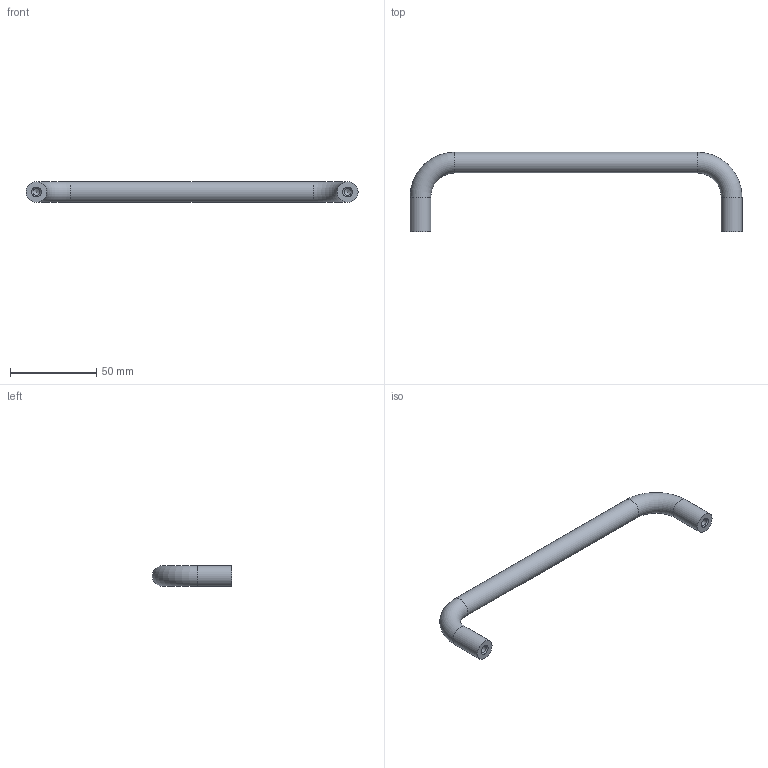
import cadquery as cq
import math

bar_diameter = 12.0
hole_spacing = 180.0
handle_height = 46.0
bend_radius = 20.0

hole_diameter = 4.134
hole_mouth_diameter = 5.7
hole_depth = 12.0
drill_point_angle = 120.0

leg_x = hole_spacing / 2
grip_y = handle_height - bar_diameter / 2
leg_length = grip_y - bend_radius
grip_half_length = leg_x - bend_radius


def bent_bar():
    """Sweep the round section along the U-shaped bar axis."""
    bend_mid_offset = bend_radius * math.sin(math.pi / 4)
    bend_mid_x = grip_half_length + bend_mid_offset
    bend_mid_y = leg_length + bend_mid_offset
    axis = (
        cq.Workplane("XY")
        .moveTo(-leg_x, 0)
        .lineTo(-leg_x, leg_length)
        .threePointArc((-bend_mid_x, bend_mid_y), (-grip_half_length, grip_y))
        .lineTo(grip_half_length, grip_y)
        .threePointArc((bend_mid_x, bend_mid_y), (leg_x, leg_length))
        .lineTo(leg_x, 0)
    )
    section = cq.Workplane("XZ", origin=(-leg_x, 0, 0)).circle(bar_diameter / 2)
    return section.sweep(axis)


def foot_hole(x):
    """Blind hole with a 45 degree mouth chamfer and a conical drill point, along +Y at x."""
    hole_radius = hole_diameter / 2
    mouth_radius = hole_mouth_diameter / 2
    chamfer = mouth_radius - hole_radius
    point_depth = hole_radius / math.tan(math.radians(drill_point_angle / 2))
    half_profile = (
        cq.Workplane("XY", origin=(x, 0, 0))
        .lineTo(mouth_radius, 0)
        .lineTo(hole_radius, chamfer)
        .lineTo(hole_radius, hole_depth)
        .lineTo(0, hole_depth + point_depth)
        .close()
    )
    return half_profile.revolve(360, (0, 0, 0), (0, 1, 0))


result = bent_bar()
for side in (-1, 1):
    result = result.cut(foot_hole(side * leg_x))